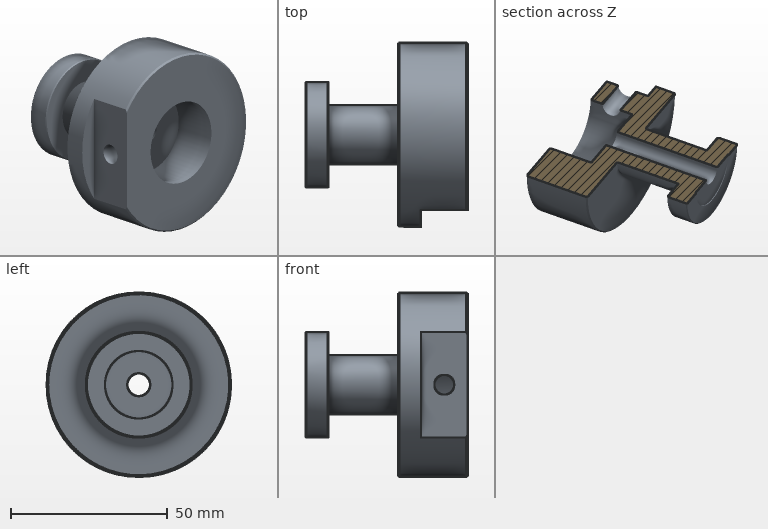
import cadquery as cq

total_length = 51.62
head_diameter = 58.72
head_length = 22.2
head_chamfer = 0.5

flange_diameter = 33.7
flange_length = 7.3
flange_chamfer = 0.3

shank_diameter = 19.05

bore_diameter = 7.2
recess_diameter = 21.5
recess_depth = 0.25

flat_length = 14.95
flat_offset = 24.06
cross_hole_diameter = 6.35

cavity_diameter = 27.0

head_start = total_length - head_length
flat_start = total_length - flat_length
cross_hole_x = total_length - flat_length / 2


def disc(start, length, diameter):
    """Cylinder along +X, beginning at x = start."""
    return cq.Workplane("YZ", origin=(start, 0, 0)).circle(diameter / 2).extrude(length)


def make_body():
    """Flange and head joined by a slimmer shank, with broken outer edges."""
    flange = disc(0, flange_length, flange_diameter).edges().chamfer(flange_chamfer)
    shank = disc(flange_length, head_start - flange_length, shank_diameter)
    head = disc(head_start, head_length, head_diameter).edges().chamfer(head_chamfer)
    return flange.union(shank).union(head)


def cut_bore(body):
    """Through bore on the axis, with a shallow recess around it in the flange face."""
    recess = disc(0, recess_depth, recess_diameter)
    bore = disc(0, total_length, bore_diameter)
    return body.cut(recess).cut(bore)


def cut_cavity(body):
    """Round cavity in the head, open at the +X end and as deep as the flat is long."""
    return body.cut(disc(flat_start, flat_length, cavity_diameter))


def cut_flat(body):
    """Flat on the -Y side of the head, open at the +X end."""
    flat_depth = head_diameter / 2 - flat_offset
    cutter = cq.Workplane("XY").box(
        flat_length, flat_depth, head_diameter, centered=(False, False, True)
    )
    return body.cut(cutter.translate((flat_start, -head_diameter / 2, 0)))


def cut_cross_hole(body):
    """Radial hole from the middle of the flat into the cavity."""
    hole = (
        cq.Workplane("XZ", origin=(cross_hole_x, 0, 0))
        .circle(cross_hole_diameter / 2)
        .extrude(flat_offset)
    )
    return body.cut(hole)


result = cut_cross_hole(cut_flat(cut_cavity(cut_bore(make_body()))))